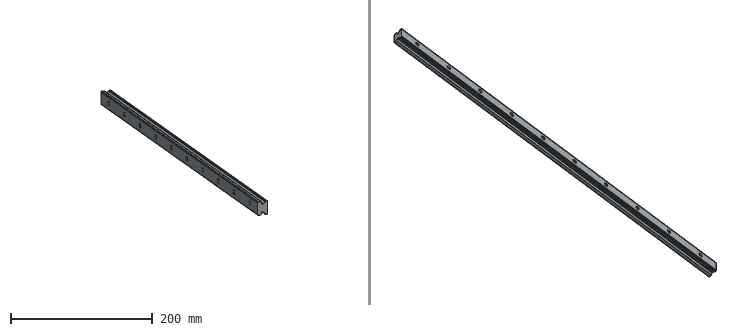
import cadquery as cq

length = 600.0
height = 15.5
width = 20.0

base_chamfer = 1.2
head_chamfer = 0.9
head_thickness = 3.3
head_wall_depth = 1.3
groove_depth = 3.8
groove_floor_start = 7.4
groove_floor_end = 8.8
groove_end = 10.2

hole_diameter = 6.0
hole_pitch = 60.0
hole_count = 10


def half_profile():
    """Points of the +Z half of the section as (y, z), from the +Y face to the -Y face."""
    top = height / 2
    side = width / 2
    return [
        (top, side - head_chamfer),
        (top - head_chamfer, side),
        (top - head_thickness, side),
        (top - head_thickness, side - head_wall_depth),
        (top - groove_floor_start, side - groove_depth),
        (top - groove_floor_end, side - groove_depth),
        (top - groove_end, side),
        (base_chamfer - top, side),
        (-top, side - base_chamfer),
    ]


def make_rail():
    """Grooved bar, symmetric about the XY plane and extruded along X, centred on the origin."""
    upper = half_profile()
    lower = [(y, -z) for y, z in reversed(upper)]
    start_plane = cq.Workplane("YZ", origin=(-length / 2, 0, 0))
    return start_plane.polyline(upper + lower).close().extrude(length)


def make_holes():
    """Row of through holes along Y, centred on the rail."""
    return (
        cq.Workplane("XZ")
        .rarray(hole_pitch, 1, hole_count, 1)
        .circle(hole_diameter / 2)
        .extrude(height, both=True)
    )


result = make_rail().cut(make_holes())